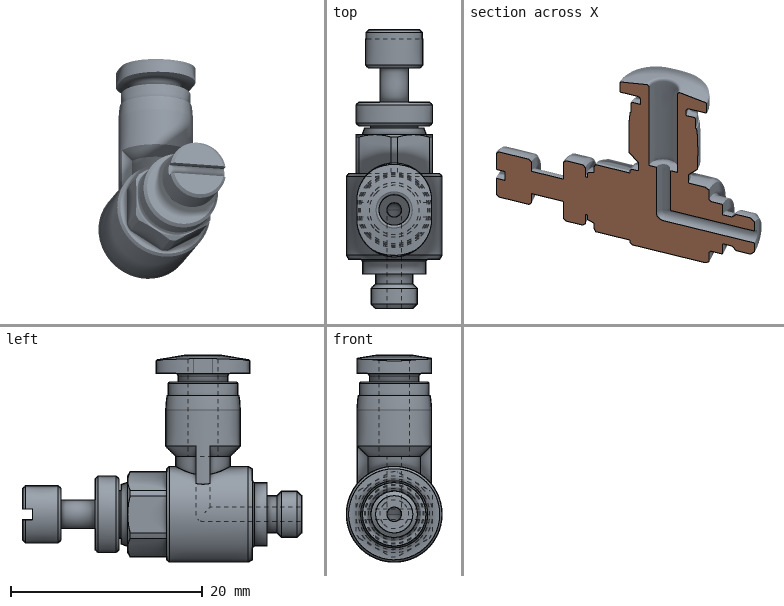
import cadquery as cq
import math


body_dia = 10.0
body_front = -5.15
body_back = 3.8
body_front_chamfer_length = 0.45
body_back_chamfer_length = 0.3
body_chamfer_depth = 0.25

collar_dia = 6.6
collar_root_dia = 7.0
collar_root_length = 0.2
collar_front = -6.7
thread_dia = 4.83
thread_relief_dia = 3.88
thread_back = -7.7
thread_front = -10.3
thread_chamfer = (thread_dia - thread_relief_dia) / 2

nut_sides = 6
nut_across_flats = 8.0
nut_corner_dia = 8.88
nut_back = 7.85
nut_chamfer_length = 0.25
nut_chamfer_depth = (nut_corner_dia - nut_across_flats) / 2

shoulder_large_dia = 6.7
shoulder_small_dia = 6.2
shoulder_back = 8.55
neck_dia = 5.0

ring_dia = 8.0
ring_front = 8.75
ring_back = 11.25
stem_dia = 3.0
head_dia = 6.0
head_front = 14.8
head_back = 18.8
edge_chamfer = 0.3
slot_width = 1.1
slot_depth = 1.0

port_neck_dia = 5.7
port_neck_top = 6.05
barrel_dia = 7.8
barrel_bottom = 7.1
barrel_top = 10.9
crown_top_dia = 7.5
crown_top = 12.4
cap_dia = 7.3
cap_top = 13.8
cap_chamfer = 0.15
sleeve_dia = 5.17
sleeve_fillet = 0.35

rib_width = 1.5

button_width = barrel_dia
button_length = 9.8
button_bottom = 14.7
button_cone_dia = 9.5
button_cone_bottom = 16.12
button_edge_top = 16.0
button_top = 16.6

tube_bore_dia = 3.17
tube_mouth_fillet = 0.3
tube_mouth_dia = tube_bore_dia + 2 * tube_mouth_fillet
tube_bore_bottom = port_neck_top
passage_dia = 1.5


def revolve_about_y(start, outline):
    """Turn a half section of (radius, y) points closed along the Y axis."""
    profile = cq.Workplane("XY").moveTo(0, start)
    for radius, y in outline:
        profile = profile.lineTo(radius, y)
    return profile.close().revolve(360, (0, 0, 0), (0, 1, 0))


def cylinder_y(dia, start, end):
    return cq.Workplane("XZ", origin=(0, start, 0)).circle(dia / 2).extrude(start - end)


def cylinder_z(dia, bottom, top):
    return cq.Workplane("XY", origin=(0, 0, bottom)).circle(dia / 2).extrude(top - bottom)


def make_body():
    radius = body_dia / 2
    end_radius = radius - body_chamfer_depth
    return revolve_about_y(body_front, [
        (end_radius, body_front),
        (radius, body_front + body_front_chamfer_length),
        (radius, body_back - body_back_chamfer_length),
        (end_radius, body_back),
        (0, body_back),
    ])


def make_threaded_end():
    relief_radius = thread_relief_dia / 2
    thread_radius = thread_dia / 2
    return revolve_about_y(thread_front, [
        (relief_radius, thread_front),
        (thread_radius, thread_front + thread_chamfer),
        (thread_radius, thread_back - thread_chamfer),
        (relief_radius, thread_back),
        (relief_radius, collar_front),
        (collar_dia / 2, collar_front),
        (collar_dia / 2, body_front - collar_root_length),
        (collar_root_dia / 2, body_front),
        (0, body_front),
    ])


def make_nut():
    corner_radius = nut_corner_dia / 2
    half_face_angle = math.pi / nut_sides
    hexagon = (
        cq.Workplane("XZ", origin=(0, body_back, 0))
        .polygon(nut_sides, nut_across_flats / math.cos(half_face_angle))
        .extrude(body_back - nut_back)
        .rotate((0, 0, 0), (0, 1, 0), math.degrees(half_face_angle))
    )
    turned_blank = revolve_about_y(body_back, [
        (corner_radius, body_back),
        (corner_radius, nut_back - nut_chamfer_length),
        (corner_radius - nut_chamfer_depth, nut_back),
        (0, nut_back),
    ])
    return hexagon.intersect(turned_blank)


def make_shoulder():
    shoulder = revolve_about_y(nut_back, [
        (shoulder_large_dia / 2, nut_back),
        (shoulder_small_dia / 2, shoulder_back),
        (0, shoulder_back),
    ])
    return shoulder.union(cylinder_y(neck_dia, nut_back, ring_front))


def make_adjuster():
    ring = cylinder_y(ring_dia, ring_front, ring_back).edges().chamfer(edge_chamfer)
    stem = cylinder_y(stem_dia, ring_back, head_front)
    head = cylinder_y(head_dia, head_front, head_back).edges().chamfer(edge_chamfer)
    slot = (
        cq.Workplane("XY")
        .box(head_dia, 2 * slot_depth, slot_width)
        .translate((0, head_back, 0))
    )
    return ring.union(stem).union(head.cut(slot))


def make_port():
    barrel_radius = barrel_dia / 2
    crown_radius = crown_top_dia / 2
    cap_radius = cap_dia / 2
    sleeve_radius = sleeve_dia / 2
    return (
        cq.Workplane("XZ")
        .lineTo(port_neck_dia / 2, 0)
        .lineTo(port_neck_dia / 2, port_neck_top)
        .lineTo(barrel_radius, barrel_bottom)
        .lineTo(barrel_radius, barrel_top)
        .tangentArcPoint((crown_radius, crown_top), relative=False)
        .lineTo(cap_radius, crown_top)
        .lineTo(cap_radius, cap_top - cap_chamfer)
        .lineTo(cap_radius - cap_chamfer, cap_top)
        .lineTo(sleeve_radius, cap_top)
        .lineTo(sleeve_radius, button_bottom - sleeve_fillet)
        .tangentArcPoint((sleeve_radius + sleeve_fillet, button_bottom), relative=False)
        .lineTo(0, button_bottom)
        .close()
        .revolve(360, (0, 0, 0), (0, 1, 0))
    )


def make_ribs():
    web = (
        cq.Workplane("XY")
        .rect(barrel_dia, rib_width)
        .extrude(barrel_bottom)
    )
    return web.intersect(cylinder_z(barrel_dia, 0, barrel_bottom))


def make_button():
    outline = (
        cq.Workplane("XY", origin=(0, 0, button_bottom))
        .slot2D(button_length, button_width, 90)
        .extrude(button_top - button_bottom)
    )
    coned_blank = (
        cq.Workplane("XZ")
        .moveTo(0, button_bottom)
        .lineTo(button_length / 2, button_bottom)
        .lineTo(button_length / 2, button_edge_top)
        .lineTo(button_cone_dia / 2, button_cone_bottom)
        .lineTo(tube_mouth_dia / 2, button_top)
        .lineTo(0, button_top)
        .close()
        .revolve(360, (0, 0, 0), (0, 1, 0))
    )
    return outline.intersect(coned_blank)


def make_bores():
    """Tube bore with a rounded mouth, then a narrow passage turning to the threaded end."""
    bore_radius = tube_bore_dia / 2
    tube_bore = (
        cq.Workplane("XZ")
        .moveTo(0, tube_bore_bottom)
        .lineTo(bore_radius, tube_bore_bottom)
        .lineTo(bore_radius, button_top - tube_mouth_fillet)
        .tangentArcPoint((tube_mouth_dia / 2, button_top), relative=False)
        .lineTo(0, button_top)
        .close()
        .revolve(360, (0, 0, 0), (0, 1, 0))
    )
    down_passage = cylinder_z(passage_dia, 0, tube_bore_bottom)
    front_passage = cylinder_y(passage_dia, thread_front, 0)
    elbow = cq.Workplane("XY").sphere(passage_dia / 2)
    return tube_bore.union(down_passage).union(front_passage).union(elbow)


result = (
    make_body()
    .union(make_threaded_end())
    .union(make_nut())
    .union(make_shoulder())
    .union(make_adjuster())
    .union(make_port())
    .union(make_ribs())
    .union(make_button())
    .cut(make_bores())
)